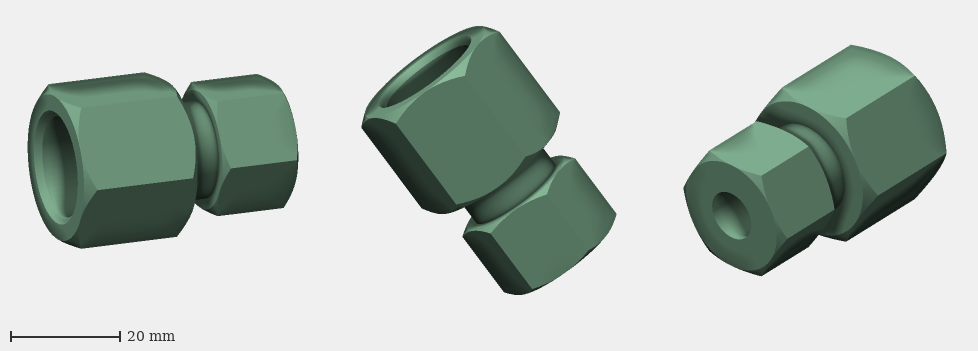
import cadquery as cq
import math

total_length = 43.4
socket_hex_flats = 27.0
socket_hex_length = 22.5
socket_corner_depth = 1.8
nut_flats = 22.0
nut_length = 15.0
nut_corner_depth = 1.0
neck_diameter = 18.0
socket_diameter = 18.65
socket_mouth_diameter = 21.0
socket_mouth_depth = 1.17
socket_depth = 15.0
bore_diameter = 9.55

nut_start = total_length - nut_length


def cylinder(diameter, start, length):
    """Solid cylinder on the Y axis, growing toward +Y from the given start."""
    plane = cq.Plane(origin=(0, start, 0), xDir=(1, 0, 0), normal=(0, 1, 0))
    return cq.Workplane(plane).circle(diameter / 2).extrude(length)


def chamfered_hex(flats, start, length, corner_depth):
    """Hexagon with corners on X, turned conically at both ends down to the flats."""
    corner_radius = flats / math.sqrt(3)
    plane = cq.Plane(origin=(0, start, 0), xDir=(1, 0, 0), normal=(0, 1, 0))
    prism = cq.Workplane(plane).polygon(6, 2 * corner_radius).extrude(length)
    end = start + length
    envelope = (
        cq.Workplane("XY")
        .polyline([
            (0, start),
            (flats / 2, start),
            (corner_radius, start + corner_depth),
            (corner_radius, end - corner_depth),
            (flats / 2, end),
            (0, end),
        ])
        .close()
        .revolve(360, (0, 0, 0), (0, 1, 0))
    )
    return prism.intersect(envelope)


socket_hex = chamfered_hex(socket_hex_flats, 0, socket_hex_length, socket_corner_depth)
neck = cylinder(neck_diameter, socket_hex_length, nut_start - socket_hex_length)
nut = chamfered_hex(nut_flats, nut_start, nut_length, nut_corner_depth)
body = socket_hex.union(neck).union(nut)

socket_cavity = (
    cq.Workplane("XY")
    .polyline([
        (0, 0),
        (socket_mouth_diameter / 2, 0),
        (socket_diameter / 2, socket_mouth_depth),
        (socket_diameter / 2, socket_depth),
        (0, socket_depth),
    ])
    .close()
    .revolve(360, (0, 0, 0), (0, 1, 0))
)
bore = cylinder(bore_diameter, 0, total_length)

result = body.cut(socket_cavity).cut(bore)